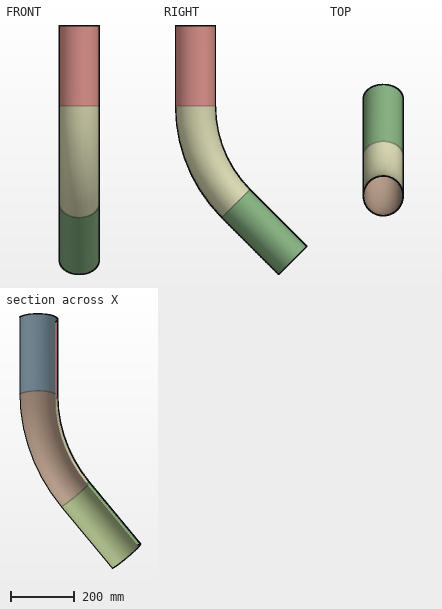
import cadquery as cq
import math

overall_height = 784.0
outer_diameter = 127.0
inner_diameter = 123.0

leg_length = 253.0
bend_angle = math.radians(45)
sin_bend = math.sin(bend_angle)
cos_bend = math.cos(bend_angle)

leg_heights = leg_length * (1 + cos_bend)
rim_drop = outer_diameter / 2 * sin_bend
bend_radius = (overall_height - leg_heights - rim_drop) / sin_bend


def bend_point(angle):
    """Centreline point (Y, Z) after turning by an angle from the vertical leg."""
    return (bend_radius * (1 - math.cos(angle)), -bend_radius * math.sin(angle))


bend_end = bend_point(bend_angle)
sloping_end = (bend_end[0] + leg_length * sin_bend, bend_end[1] - leg_length * cos_bend)
centreline = (
    cq.Workplane("YZ")
    .moveTo(0, leg_length)
    .lineTo(0, 0)
    .threePointArc(bend_point(bend_angle / 2), bend_end)
    .lineTo(*sloping_end)
)

result = (
    cq.Workplane("XY", origin=(0, 0, leg_length))
    .circle(outer_diameter / 2)
    .circle(inner_diameter / 2)
    .sweep(centreline)
)